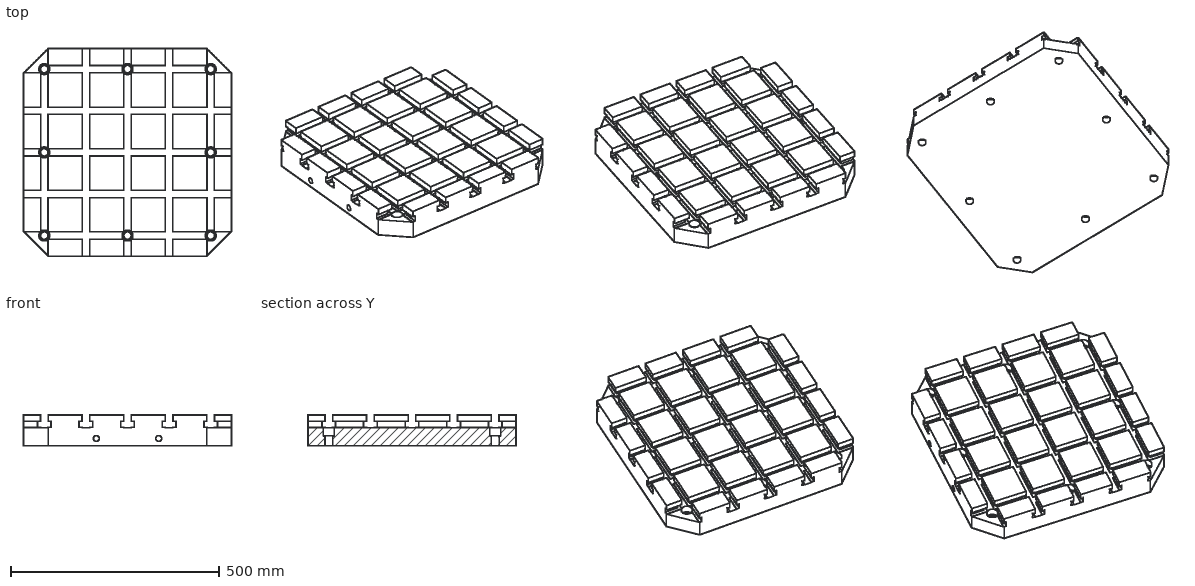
import cadquery as cq
import math

side = 500.0
height = 75.0
corner_chamfer = 60.0

slot_pitch = 100.0
slot_steps = range(-2, 3)
slot_width = 18.0
undercut_width = 32.0
undercut_top_depth = 16.0
undercut_floor_depth = 30.0
relief_width = 17.5
relief_depth = 31.0

hole_diameter = 18.0
counterbore_diameter = 26.0
counterbore_depth = 20.0

side_hole_diameter = 14.0
side_hole_depth = 30.0
drill_point_angle = 118.0
side_hole_spacing = 150.0
side_hole_height = 18.0

half_side = side / 2
relief_floor = height - relief_depth
outer_slot = slot_pitch * max(slot_steps)


def make_plate():
    plate = cq.Workplane("XY").rect(side, side).extrude(height)
    return plate.edges("|Z").chamfer(corner_chamfer)


def make_t_slot(offset):
    """T-slot along Y, centred on x = offset, with a shallow relief groove in its floor."""

    def channel(width, top_depth, floor_depth):
        return (
            cq.Workplane("XY", origin=(offset, 0, height - floor_depth))
            .rect(width, side)
            .extrude(floor_depth - top_depth)
        )

    neck = channel(slot_width, 0, undercut_floor_depth)
    undercut = channel(undercut_width, undercut_top_depth, undercut_floor_depth)
    relief = channel(relief_width, 0, relief_depth)
    return neck.union(undercut).union(relief)


def make_corner_pockets():
    """Square pockets that clear each corner outside the outer slots."""
    pocket_side = half_side - outer_slot + relief_width / 2
    pocket_centre_span = side - pocket_side
    return (
        cq.Workplane("XY", origin=(0, 0, relief_floor))
        .rect(pocket_centre_span, pocket_centre_span, forConstruction=True)
        .vertices()
        .rect(pocket_side, pocket_side)
        .extrude(relief_depth)
    )


def make_mounting_holes():
    steps = (-outer_slot, 0, outer_slot)
    centres = [(x, y) for x in steps for y in steps if (x, y) != (0, 0)]
    bores = cq.Workplane("XY").pushPoints(centres).circle(hole_diameter / 2).extrude(height)
    counterbores = (
        cq.Workplane("XY", origin=(0, 0, relief_floor - counterbore_depth))
        .pushPoints(centres)
        .circle(counterbore_diameter / 2)
        .extrude(counterbore_depth + relief_depth)
    )
    return bores.union(counterbores)


def make_side_hole(x):
    """Blind hole along +Y with a conical drill-point bottom."""
    radius = side_hole_diameter / 2
    point_depth = radius / math.tan(math.radians(drill_point_angle / 2))
    axis_start = (x, -half_side, side_hole_height)
    return (
        cq.Workplane("XY", origin=axis_start)
        .polyline([
            (0, 0),
            (radius, 0),
            (radius, side_hole_depth),
            (0, side_hole_depth + point_depth),
        ])
        .close()
        .revolve(360, (0, 0, 0), (0, 1, 0))
    )


result = make_plate()
for step in slot_steps:
    t_slot = make_t_slot(step * slot_pitch)
    result = result.cut(t_slot)
    result = result.cut(t_slot.rotate((0, 0, 0), (0, 0, 1), 90))
result = result.cut(make_corner_pockets())
result = result.cut(make_mounting_holes())
for x in (-side_hole_spacing / 2, side_hole_spacing / 2):
    result = result.cut(make_side_hole(x))